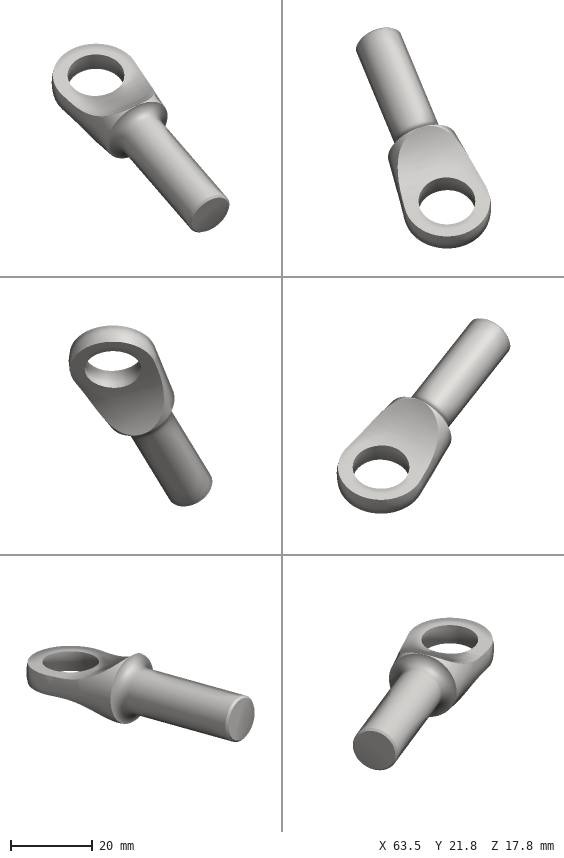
import cadquery as cq
import math

total_length = 63.5
head_radius = 10.9
eye_diameter = 14.0
tongue_thickness = 5.2
scoop_start = 15.25
scoop_radius = 20.0
neck_end = 29.85
shank_radius = 5.9
neck_fillet = 3.0
end_chamfer = 0.5
cut_margin = 3.2

collar_radius = shank_radius + neck_fillet
shank_start = neck_end + neck_fillet
half_thickness = tongue_thickness / 2
tool_reach = head_radius + cut_margin


def turned_body():
    """Sphere, tangent cone, concave neck fillet and chamfered shank."""
    rim_offset = neck_end - head_radius
    rim_distance = math.hypot(rim_offset, collar_radius)
    tangent_angle = math.atan2(collar_radius, rim_offset) + math.acos(head_radius / rim_distance)

    def sphere_point(angle):
        return (head_radius + head_radius * math.cos(angle), head_radius * math.sin(angle))

    arc_middle = sphere_point((tangent_angle + math.pi) / 2)
    fillet_drop = neck_fillet * math.sqrt(0.5)
    fillet_middle = (shank_start - fillet_drop, collar_radius - fillet_drop)
    return (
        cq.Workplane("XY")
        .moveTo(0, 0)
        .threePointArc(arc_middle, sphere_point(tangent_angle))
        .lineTo(neck_end, collar_radius)
        .threePointArc(fillet_middle, (shank_start, shank_radius))
        .lineTo(total_length - end_chamfer, shank_radius)
        .lineTo(total_length, shank_radius - end_chamfer)
        .lineTo(total_length, 0)
        .close()
        .revolve(360, (0, 0, 0), (1, 0, 0))
    )


def upper_scoop():
    """Material above the flat face and the tangent arc that rises to the collar."""
    def arc_point(x):
        rise = scoop_radius - math.sqrt(scoop_radius**2 - (x - scoop_start) ** 2)
        return (x, half_thickness + rise)

    arc_end = arc_point(shank_start)
    return (
        cq.Workplane("XZ", origin=(0, tool_reach, 0))
        .moveTo(-cut_margin, half_thickness)
        .lineTo(scoop_start, half_thickness)
        .threePointArc(arc_point((scoop_start + shank_start) / 2), arc_end)
        .lineTo(shank_start, tool_reach)
        .lineTo(-cut_margin, tool_reach)
        .close()
        .extrude(2 * tool_reach)
    )


def eye_hole():
    """Through hole along Z, concentric with the spherical end."""
    return (
        cq.Workplane("XY", origin=(head_radius, 0, -tool_reach))
        .circle(eye_diameter / 2)
        .extrude(2 * tool_reach)
    )


scoop = upper_scoop()
result = turned_body().cut(scoop).cut(scoop.mirror("XY")).cut(eye_hole())